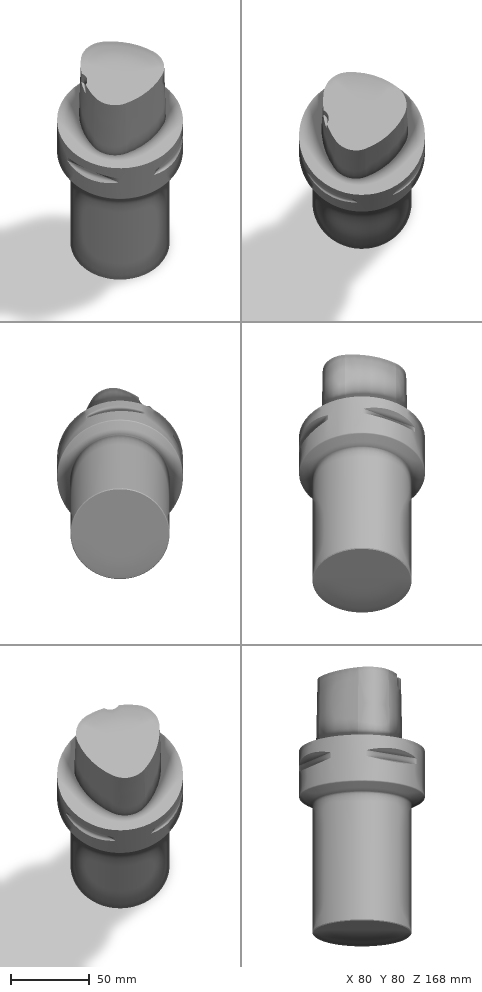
import cadquery as cq
import math

total_height = 168.0
flange_top = 120.0
flange_bottom = 89.5
shank_top = 84.7

flange_radius = 40.0
shank_diameter = 63.0
shank_radius = shank_diameter / 2
flange_edge_fillet = 1.0
neck_fillet = 0.8
bottom_chamfer = 0.5

lobe_center_distance = 12.8
base_lobe_radius = 16.8
base_flank_distance = 25.2
taper_inset = 1.0

groove_count = 4
groove_center_height = 107.9
groove_floor_distance = 35.3
groove_floor_height = 3.7
groove_mouth_height = 8.9
groove_clearance = 1.7
first_groove_angle = 45

notch_radius = 6.4
notch_depth = 2.4
notch_height = 8.4


def polar(radius, angle):
    """Point at a radius and an angle in degrees about the part axis."""
    return (radius * math.cos(math.radians(angle)), radius * math.sin(math.radians(angle)))


def lobed_outline(plane, inset):
    """Closed wire of the three-lobed section, moved inward by the inset."""
    lobe_radius = base_lobe_radius - inset
    flank_distance = base_flank_distance - inset
    c = lobe_center_distance
    gap = flank_distance - lobe_radius
    flank_offset = (c**2 - gap**2) / (2 * gap - c)
    across = c * math.sin(math.radians(60))
    along = flank_offset + c * math.cos(math.radians(60))
    half_angle = math.degrees(math.atan2(across, along))
    flank_radius = flank_distance + flank_offset
    tangent_across = flank_radius * math.sin(math.radians(half_angle))
    tangent_along = flank_radius * math.cos(math.radians(half_angle)) - flank_offset
    tangent_radius = math.hypot(tangent_across, tangent_along)
    tangent_angle = math.degrees(math.atan2(tangent_across, tangent_along))

    first_flank = -90
    outline = cq.Workplane(plane).moveTo(*polar(tangent_radius, first_flank - tangent_angle))
    for flank in (first_flank, first_flank + 120, first_flank + 240):
        flank_end = polar(tangent_radius, flank + tangent_angle)
        lobe_end = polar(tangent_radius, flank + 120 - tangent_angle)
        outline = outline.threePointArc(polar(flank_distance, flank), flank_end)
        outline = outline.threePointArc(polar(c + lobe_radius, flank + 60), lobe_end)
    return outline.close().val()


def edges_near_height(height):
    """Selector for the body edges centered within a thin slab at the height."""
    reach = flange_radius
    slab_half_height = 0.2
    return cq.selectors.BoxSelector(
        (-reach, -reach, height - slab_half_height),
        (reach, reach, height + slab_half_height),
    )


def make_body():
    """Flange and shank joined by a cone."""
    profile = [
        (0, 0),
        (shank_radius, 0),
        (shank_radius, shank_top),
        (flange_radius, flange_bottom),
        (flange_radius, flange_top),
        (0, flange_top),
    ]
    body = cq.Workplane("XZ").polyline(profile).close().revolve(360, (0, 0), (0, 1))
    body = body.faces("<Z").chamfer(bottom_chamfer)

    body = body.edges(edges_near_height(flange_bottom)).fillet(flange_edge_fillet)
    return body.edges(edges_near_height(shank_top)).fillet(neck_fillet)


def make_polygon():
    """Tapered three-lobed coupling above the flange."""
    base = lobed_outline(cq.Plane.XY((0, 0, flange_top)), 0)
    top = lobed_outline(cq.Plane.XY((0, 0, total_height)), taper_inset)
    return cq.Workplane(cq.Solid.makeLoft([base, top], True))


def make_groove(angle):
    """Straight groove with sloping sides, cut across the flange rim."""
    slope = (groove_mouth_height - groove_floor_height) / 2 / (flange_radius - groove_floor_distance)
    outer_distance = flange_radius + groove_clearance
    outer_half = groove_floor_height / 2 + slope * (outer_distance - groove_floor_distance)
    floor_half = groove_floor_height / 2
    section = [
        (groove_floor_distance, groove_center_height - floor_half),
        (outer_distance, groove_center_height - outer_half),
        (outer_distance, groove_center_height + outer_half),
        (groove_floor_distance, groove_center_height + floor_half),
    ]
    groove = cq.Workplane("XZ").polyline(section).close().extrude(flange_radius, both=True)
    return groove.rotate((0, 0, 0), (0, 0, 1), angle)


def make_notch():
    """Round-backed notch open at the polygon top and front flank."""
    top_flank_distance = base_flank_distance - taper_inset
    notch_center_y = -top_flank_distance + notch_depth - notch_radius
    floor = cq.Workplane("XY", origin=(0, notch_center_y, total_height - notch_height))
    return floor.circle(notch_radius).extrude(notch_height)


result = make_body().union(make_polygon())
for index in range(groove_count):
    result = result.cut(make_groove(first_groove_angle + index * 360 / groove_count))
result = result.cut(make_notch())